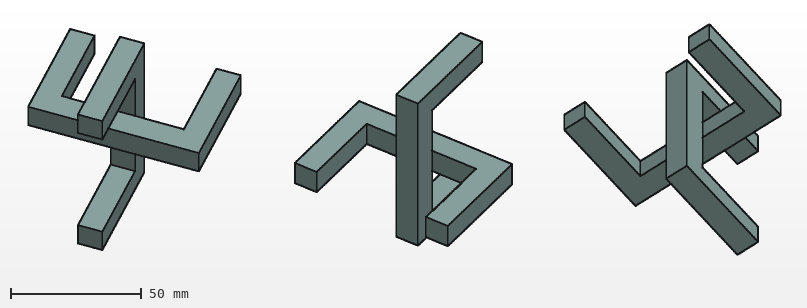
import cadquery as cq

span = 70.0
bar = 10.0
reach = span / 2


def u_bracket():
    """U of square bar in the XY plane: inner spine face on Y = 0, arms toward +Y."""
    depth = bar + reach
    outline = cq.Workplane("XY").box(span, depth, bar, centered=(True, False, True))
    opening = cq.Workplane("XY").box(span - 2 * bar, depth, bar, centered=(True, False, True))
    return outline.translate((0, -bar, 0)).cut(opening)


flat_bracket = u_bracket()

upright_bracket = (
    u_bracket()
    .rotate((0, 0, 0), (0, 0, 1), 180)
    .rotate((0, 0, 0), (0, 1, 0), 90)
)

result = cq.Compound.makeCompound([flat_bracket.val(), upright_bracket.val()])